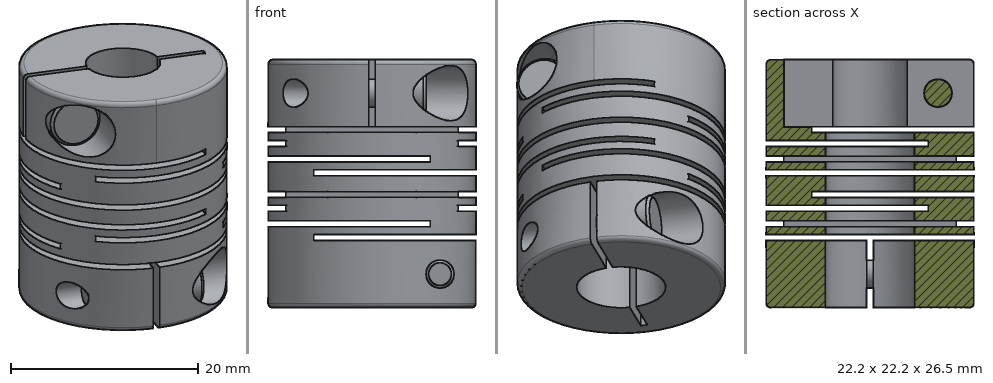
import cadquery as cq

LENGTH = 26.5
OUTER_DIAMETER = 22.2
EDGE_FILLET = 0.5
UPPER_BORE_DIAMETER = 7.95
LOWER_BORE_DIAMETER = 9.5

SLOT_WIDTH = 0.6
SLOT_REACH = 6.2
OUTER_SLOT_DEPTH = 7.18
SLOT_PAIR_PITCH = 1.48
SLOT_GROUP_PITCH = 3.13

SLIT_WIDTH = 0.72
SLIT_REACH = 9.17

SCREW_OFFSET = 7.25
SCREW_DIAMETER = 3.0
SCREW_TIP = -6.75
TIP_CHAMFER = 0.3
HEAD_DIAMETER = 5.6
HEAD_SEAT = 2.84
HEAD_TOP = 5.8
HEAD_CHAMFER = 0.32
COUNTERBORE_DIAMETER = 5.88

RADIUS = OUTER_DIAMETER / 2
HALF_LENGTH = LENGTH / 2
HUB_HEIGHT = OUTER_SLOT_DEPTH
HUB_FACE = HALF_LENGTH - HUB_HEIGHT
SCREW_HEIGHT = HALF_LENGTH - HUB_HEIGHT / 2
FULL_WIDTH = 2 * OUTER_DIAMETER
TURN_FROM_SIDE = {"+X": 0, "+Y": 90, "-X": 180, "-Y": 270}


def turn(shape, angle):
    """Rotate a shape about the coupling axis."""
    return shape.rotate((0, 0, 0), (0, 0, 1), angle)


def side_cut(side, reach, width, bottom, height):
    """Cutter entering from the given side and ending `reach` past the axis."""
    cutter = cq.Workplane("XY").box(
        reach + OUTER_DIAMETER, width, height, centered=(False, True, False)
    )
    return turn(cutter.translate((-reach, 0, bottom)), TURN_FROM_SIDE[side])


def along_x(diameter, start, end):
    """Cylinder on the upper screw axis, between two X positions."""
    return (
        cq.Workplane("YZ", origin=(start, -SCREW_OFFSET, SCREW_HEIGHT))
        .circle(diameter / 2)
        .extrude(end - start)
    )


def to_lower_hub(shape):
    """Carry an upper hub feature to the lower hub: mirror, then a quarter turn."""
    return turn(shape.mirror("XY"), 90)


def make_body():
    body = cq.Workplane("XY").circle(RADIUS).extrude(LENGTH).translate((0, 0, -HALF_LENGTH))
    body = body.faces("|Z").edges().fillet(EDGE_FILLET)
    body = body.faces(">Z").workplane().hole(UPPER_BORE_DIAMETER)
    return body.faces("<Z").workplane().hole(LOWER_BORE_DIAMETER, LENGTH - HUB_HEIGHT)


def cut_flexure_slots(body):
    third_top = HUB_FACE - SLOT_GROUP_PITCH
    upper_tops = [HUB_FACE, HUB_FACE - SLOT_PAIR_PITCH, third_top, third_top - SLOT_PAIR_PITCH]
    upper_bottoms = [top - SLOT_WIDTH for top in upper_tops]
    lower_bottoms = [-top for top in reversed(upper_tops)]
    sides = ["-Y", "+Y", "-X", "+X"] * 2
    for side, bottom in zip(sides, upper_bottoms + lower_bottoms):
        body = body.cut(side_cut(side, SLOT_REACH, FULL_WIDTH, bottom, SLOT_WIDTH))
    return body


def make_screw():
    shank = along_x(SCREW_DIAMETER, SCREW_TIP, HEAD_SEAT).faces("<X").chamfer(TIP_CHAMFER)
    head = along_x(HEAD_DIAMETER, HEAD_SEAT, HEAD_TOP).faces(">X").chamfer(HEAD_CHAMFER)
    return shank.union(head)


def clamp_cuts():
    slit = side_cut("-Y", SLIT_REACH, SLIT_WIDTH, HUB_FACE, HUB_HEIGHT)
    screw_hole = along_x(SCREW_DIAMETER, -RADIUS, HEAD_SEAT)
    counterbore = along_x(COUNTERBORE_DIAMETER, HEAD_SEAT, RADIUS)
    return [slit, screw_hole, counterbore]


def add_clamps(body):
    for cutter in clamp_cuts():
        body = body.cut(cutter).cut(to_lower_hub(cutter))
    screw = make_screw()
    return body.union(screw).union(to_lower_hub(screw))


result = add_clamps(cut_flexure_slots(make_body()))